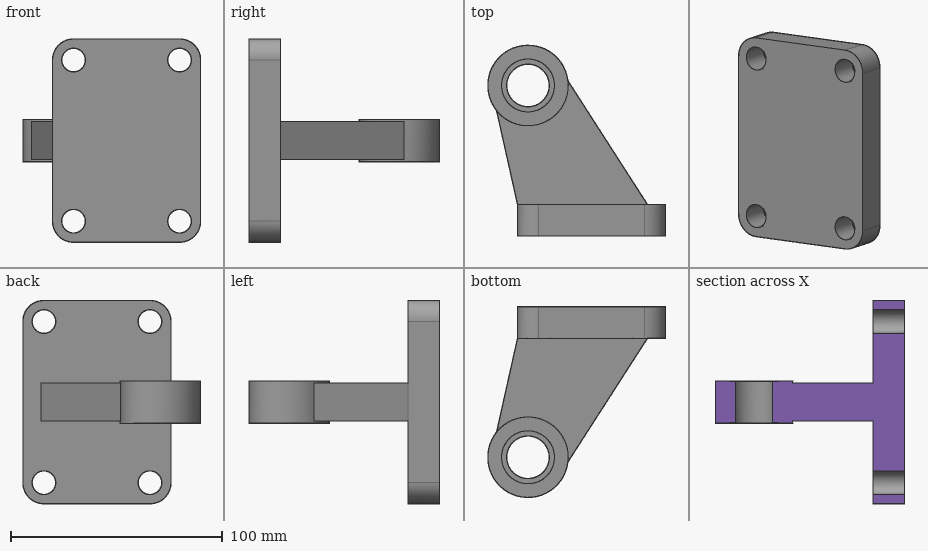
import cadquery as cq
import math

plate_width = 70.0
plate_height = 96.0
plate_thickness = 15.0
corner_radius = 10.0
bolt_diameter = 11.0
bolt_spacing_x = 50.0
bolt_spacing_z = 76.0

eye_diameter = 38.0
eye_height = 20.0
bore_diameter = 20.0
recess_diameter = 25.0
recess_depth = 0.2
eye_inset = 5.0
eye_x = eye_inset - plate_width / 2
eye_y = 71.0

arm_thickness = 18.0
arm_root_width = 61.3
arm_tip_radius = 17.1
arm_left_x = -plate_width / 2
arm_right_x = arm_left_x + arm_root_width


def make_plate():
    plate = (
        cq.Workplane("XZ")
        .rect(plate_width, plate_height)
        .extrude(-plate_thickness)
        .edges("|Y")
        .fillet(corner_radius)
    )
    bolt_holes = (
        cq.Workplane("XZ")
        .rect(bolt_spacing_x, bolt_spacing_z, forConstruction=True)
        .vertices()
        .circle(bolt_diameter / 2)
        .extrude(-plate_thickness)
    )
    return plate.cut(bolt_holes)


def cylinder_at_eye(diameter, bottom_z, height):
    return (
        cq.Workplane("XY", origin=(eye_x, eye_y, bottom_z))
        .circle(diameter / 2)
        .extrude(height)
    )


def tangent_point(root_x, side):
    """Point on the arm tip circle touched by the line from the arm root; side is -1 left, +1 right."""
    dx = root_x - eye_x
    dy = plate_thickness - eye_y
    toward_root = math.atan2(dy, dx)
    half_angle = math.acos(arm_tip_radius / math.hypot(dx, dy))
    angle = toward_root + side * half_angle
    return (
        eye_x + arm_tip_radius * math.cos(angle),
        eye_y + arm_tip_radius * math.sin(angle),
    )


def make_arm():
    return (
        cq.Workplane("XY", origin=(0, 0, -arm_thickness / 2))
        .moveTo(arm_left_x, plate_thickness)
        .lineTo(arm_right_x, plate_thickness)
        .lineTo(*tangent_point(arm_right_x, 1))
        .lineTo(eye_x, eye_y)
        .lineTo(*tangent_point(arm_left_x, -1))
        .close()
        .extrude(arm_thickness)
    )


eye_bottom = -eye_height / 2
eye = cylinder_at_eye(eye_diameter, eye_bottom, eye_height)
bore = cylinder_at_eye(bore_diameter, eye_bottom, eye_height)
lower_recess = cylinder_at_eye(recess_diameter, eye_bottom, recess_depth)
upper_recess = cylinder_at_eye(recess_diameter, eye_height / 2 - recess_depth, recess_depth)

bracket = make_plate().union(make_arm()).union(eye)
result = bracket.cut(bore).cut(lower_recess).cut(upper_recess)